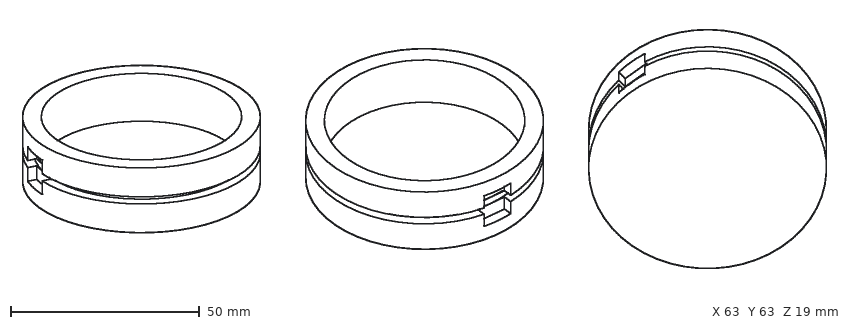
import cadquery as cq

outer_diameter = 63.0
height = 19.0
wall = 5.0
floor_thickness = 5.0

groove_width = 2.1
groove_depth = 2.95

pocket_width = 8.95
pocket_height = 10.1
pocket_depth = 2.95

outer_radius = outer_diameter / 2
bore_radius = outer_radius - wall
mid_height = height / 2


def cup():
    body = cq.Workplane("XY").circle(outer_radius).extrude(height)
    bore = (
        cq.Workplane("XY")
        .workplane(offset=floor_thickness)
        .circle(bore_radius)
        .extrude(height - floor_thickness)
    )
    return body.cut(bore)


def groove():
    return (
        cq.Workplane("XY")
        .workplane(offset=mid_height - groove_width / 2)
        .circle(outer_radius)
        .circle(outer_radius - groove_depth)
        .extrude(groove_width)
    )


def side_pocket():
    return cq.Workplane("XY").box(
        pocket_width, pocket_depth, pocket_height, centered=(True, False, True)
    ).translate((0, -outer_radius, mid_height))


result = cup().cut(groove()).cut(side_pocket())